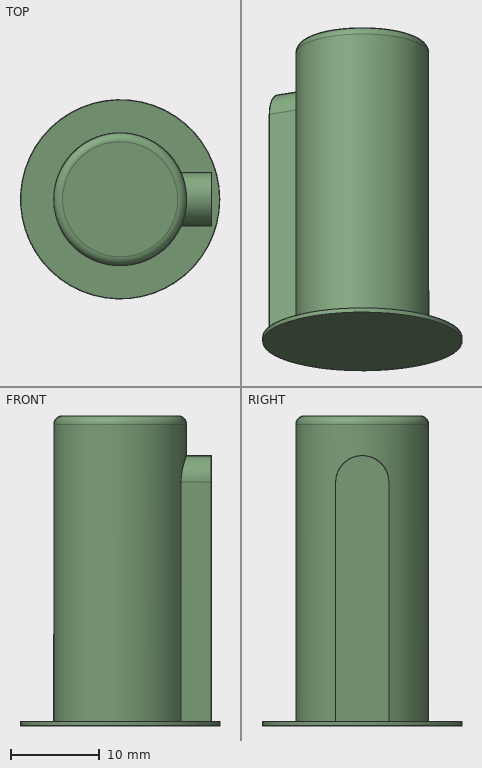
import cadquery as cq

total_height = 35.0
flange_diameter = 22.5
flange_thickness = 0.5
body_diameter = 15.0
top_edge_radius = 1.0
rib_width = 6.0
rib_reach = 10.3
rib_top = 30.5


def make_flange():
    """Thin round disc at the base."""
    return cq.Workplane("XY").circle(flange_diameter / 2).extrude(flange_thickness)


def make_body():
    """Upright cylinder with a rounded top edge."""
    cylinder = cq.Workplane("XY").circle(body_diameter / 2).extrude(total_height)
    return cylinder.faces(">Z").edges().fillet(top_edge_radius)


def make_rib():
    """Upright rib on the +X side, with a semicircular top across its width."""
    half_width = rib_width / 2
    arch_start = rib_top - half_width
    return (
        cq.Workplane("YZ")
        .moveTo(-half_width, 0)
        .lineTo(half_width, 0)
        .lineTo(half_width, arch_start)
        .threePointArc((0, rib_top), (-half_width, arch_start))
        .close()
        .extrude(rib_reach)
    )


result = make_flange().union(make_body()).union(make_rib())